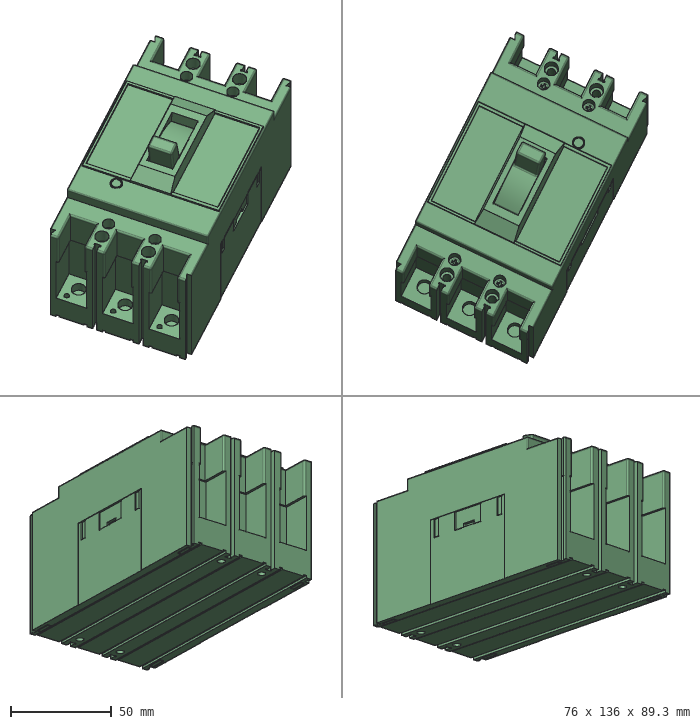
import cadquery as cq
import math


LENGTH = 136.0
WIDTH = 76.0
SHELF_Z = 64.6
SPLIT_Z = 44.6
BLOCK_LENGTH = 85.3
BLOCK_TOP = 70.7
BLOCK_ROOT = 54.4
COVER_ROUND = 0.5
END_ROUND = 1.0
POLE_PITCH = 25.0
POLE_XS = (-POLE_PITCH, 0, POLE_PITCH)
GAP_XS = (-POLE_PITCH / 2, POLE_PITCH / 2)

POCKET_FLOOR = 15.1
UPPER_POCKET_END_Y = 52.6
LOWER_POCKET_END_Y = 51.5
LOWER_POCKET_WIDTH = 16.5
UPPER_POCKET_WIDTH = 13.9
STUD_Y = 58.6
STUD_DIAMETER = 7.2
PIN_DIAMETER = 2.6
PIN_X = 4.0
PIN_PLACES = ((-PIN_X, -64.6), (PIN_X, -53.3))
FLOOR_HOLE_DEPTH = 5.5

SLOT_INNER_Y = 63.9
SLOT_WIDTH = 2.2
SLOT_HEAD_WIDTH = 3.4
SLOT_HEAD_DEPTH = 0.7
CORNER_STEP = 1.6
CORNER_GROOVE_END_Y = 66.2
CORNER_GROOVE_DEPTH = 1.0

MOUNT_DIAMETER = 4.1
MOUNT_BORE_DIAMETER = 7.0
MOUNT_BORE_DEPTH = 8.2
SCREW_Y = 50.0
SCREW_HOLE_DIAMETER = 6.1
SCREW_HOLE_DEPTH = 8.2
SCREW_HEAD_HEIGHT = 1.9
SCREW_HEAD_ROUND = 1.1
CROSS_LENGTH = 3.0
CROSS_WIDTH = 0.8
CROSS_DEPTH = 1.0

UNDERCUT_WIDTH = 16.6
UNDERCUT_DEPTH = 0.5
GROOVE_WIDTH = 1.6
GROOVE_DEPTH = 1.4
FOOT_X = 35.0
FOOT_WIDTH = 2.3
FOOT_INNER_Y = 54.0
FOOT_OUTER_Y = 62.4
FOOT_HEIGHT = 0.4

PANEL_LENGTH = 52.4
PANEL_DEPTH = 0.3
NICHE_DEPTH = 1.1
NICHE_FLOOR = 34.8
SMALL_NICHE_Y = 22.3
SMALL_NICHE_LENGTH = 3.3
MIDDLE_NICHE_LENGTH = 18.4
CATCH_LENGTH = 7.3
CATCH_TOP = 37.1
CATCH_DEPTH = 2.7

PLATE_WIDTH = 73.7
PLATE_BACK_Y = 31.0
PLATE_FRONT_Y = -26.1
PLATE_TOP = 71.7
FIELD_OUTER_X = 35.5
FIELD_BACK_Y = 29.6
FIELD_FRONT_Y = -24.3
BUTTON_PLACE = (-17.0, -29.4)
BUTTON_RING_DIAMETER = 6.1
BUTTON_DIAMETER = 5.0
BUTTON_RING_DEPTH = 0.7

HOOD_WIDTH = 22.6
HOOD_TOP_WIDTH = 19.7
HOOD_SLOPE_Z = 72.1
HOOD_TOP = 76.2
HOOD_TOP_BACK_Y = 23.0
HOOD_TOP_FRONT_Y = -18.1
WINDOW_WIDTH = 14.0
WINDOW_BACK_Y = 18.4
WINDOW_FRONT_Y = -14.1
WINDOW_FOOT_Y = 17.5
BARREL_BACK_Y = 16.7
BARREL_RADIUS = 32.6
BARREL_TOP = 75.3

HANDLE_WIDTH = 13.2
HANDLE_ROOT = 68.0
HANDLE_ROOT_BACK_Y = -2.7
HANDLE_ROOT_FRONT_Y = -11.5
HANDLE_TOP_BACK = (-7.2, 89.0)
HANDLE_TOP_FRONT = (-14.1, 87.9)
HANDLE_ROUND = 1.0
HANDLE_FOOT_ROUND = 0.8


def box(x0, x1, y0, y1, z0, z1):
    size = (x1 - x0, y1 - y0, z1 - z0)
    return cq.Workplane("XY").box(*size, centered=False).translate((x0, y0, z0))


def centred_box(x, width, y0, y1, z0, z1):
    return box(x - width / 2, x + width / 2, y0, y1, z0, z1)


def cylinder(x, y, diameter, z0, z1):
    return cq.Workplane("XY").center(x, y).circle(diameter / 2).extrude(z1 - z0).translate((0, 0, z0))


def both_ends(shape):
    """The shape together with its mirror image across the XZ plane."""
    return shape.union(shape.mirror("XZ"))


def both_sides(shape):
    """The shape together with its mirror image across the YZ plane."""
    return shape.union(shape.mirror("YZ"))


def make_cover():
    """Upper half of the case with rounded pocket mouths and a raised middle."""
    half_l = LENGTH / 2
    cover = centred_box(0, WIDTH, -half_l, half_l, SPLIT_Z, SHELF_Z)
    cover = cover.edges("|Y and >Z").fillet(COVER_ROUND)
    for x in POLE_XS:
        pocket = centred_box(x, UPPER_POCKET_WIDTH, UPPER_POCKET_END_Y, half_l, SPLIT_Z, SHELF_Z)
        cover = cover.cut(both_ends(pocket))

    margin = 0.1
    reach_x = POLE_PITCH + UPPER_POCKET_WIDTH / 2 + margin
    for side in (1, -1):
        near_y, far_y = side * (UPPER_POCKET_END_Y - margin), side * (half_l + margin)
        rims = cq.selectors.BoxSelector(
            (-reach_x, near_y, SHELF_Z - margin), (reach_x, far_y, SHELF_Z + margin))
        uprights = cq.selectors.BoxSelector(
            (-reach_x, side * (half_l - margin), SPLIT_Z + margin), (reach_x, far_y, SHELF_Z - margin))
        end_posts = cover.faces("+Z").edges("<Y" if side < 0 else ">Y")
        edges = cover.edges(rims).add(cover.edges(uprights)).add(end_posts)
        cover = cover.newObject(edges.vals()).fillet(END_ROUND)

    half_b = BLOCK_LENGTH / 2
    block = centred_box(0, WIDTH, -half_b, half_b, BLOCK_ROOT, BLOCK_TOP)
    block = block.edges("|Z or >Z").fillet(COVER_ROUND)
    return cover.union(block)


def make_base():
    """Lower half of the case with the wide terminal pockets and the underside relief."""
    half_l = LENGTH / 2
    base = centred_box(0, WIDTH, -half_l, half_l, 0, SPLIT_Z)
    groove_offset = (UNDERCUT_WIDTH - GROOVE_WIDTH) / 2
    for x in POLE_XS:
        pocket = centred_box(x, LOWER_POCKET_WIDTH, LOWER_POCKET_END_Y, half_l, POCKET_FLOOR, SPLIT_Z)
        base = base.cut(both_ends(pocket))
        base = base.cut(centred_box(x, UNDERCUT_WIDTH, -half_l, half_l, 0, UNDERCUT_DEPTH))
        for groove_x in (x - groove_offset, x + groove_offset):
            base = base.cut(centred_box(groove_x, GROOVE_WIDTH, -half_l, half_l, 0, GROOVE_DEPTH))
    foot = centred_box(FOOT_X, FOOT_WIDTH, FOOT_INNER_Y, FOOT_OUTER_Y, -FOOT_HEIGHT, 0)
    return base.union(both_sides(both_ends(foot)))


def floor_holes():
    """Stud holes in every pocket floor and two pin holes in each pocket at the -Y end."""
    z0 = POCKET_FLOOR - FLOOR_HOLE_DEPTH
    holes = cq.Workplane("XY")
    for x in POLE_XS:
        holes = holes.add(both_ends(cylinder(x, STUD_Y, STUD_DIAMETER, z0, POCKET_FLOOR)))
        for dx, y in PIN_PLACES:
            holes = holes.add(cylinder(x + dx, y, PIN_DIAMETER, z0, POCKET_FLOOR))
    return holes.combine()


def barrier_slots():
    """T-shaped slots between the poles; stepped corners, grooved below and bevelled above."""
    half_l = LENGTH / 2
    slots = cq.Workplane("XY")
    for x in GAP_XS:
        slots = slots.add(centred_box(x, SLOT_WIDTH, SLOT_INNER_Y, half_l, 0, SHELF_Z))
        head_end_y = SLOT_INNER_Y + SLOT_HEAD_DEPTH
        slots = slots.add(centred_box(x, SLOT_HEAD_WIDTH, SLOT_INNER_Y, head_end_y, 0, SHELF_Z))

    side_x = WIDTH / 2
    step_x = side_x - CORNER_STEP
    groove_x = step_x - CORNER_GROOVE_DEPTH
    corner = box(step_x, side_x, SLOT_INNER_Y, half_l, 0, SHELF_Z)
    groove = box(groove_x, step_x, SLOT_INNER_Y, CORNER_GROOVE_END_Y, 0, SPLIT_Z)
    bevel = (
        cq.Workplane("XY", origin=(0, 0, SPLIT_Z))
        .polyline([(step_x, CORNER_GROOVE_END_Y), (groove_x, SLOT_INNER_Y), (step_x, SLOT_INNER_Y)])
        .close()
        .extrude(SHELF_Z - SPLIT_Z)
    )
    corners = both_sides(corner.union(groove).union(bevel))
    return both_ends(slots.add(corners).combine())


def mounting_holes():
    """Counterbored holes through the full case height between the poles."""
    holes = cq.Workplane("XY")
    for x in GAP_XS:
        holes = holes.add(cylinder(x, STUD_Y, MOUNT_DIAMETER, 0, SHELF_Z))
        holes = holes.add(cylinder(x, STUD_Y, MOUNT_BORE_DIAMETER, SHELF_Z - MOUNT_BORE_DEPTH, SHELF_Z))
    return both_ends(holes.combine())


def screw_recesses():
    """Screw holes with a rounded cross-recess screw head left at the bottom of each."""
    floor_z = SHELF_Z - SCREW_HOLE_DEPTH
    head_z = floor_z + SCREW_HEAD_HEIGHT
    recesses = cq.Workplane("XY")
    for x in GAP_XS:
        head = cylinder(x, SCREW_Y, SCREW_HOLE_DIAMETER, floor_z, head_z)
        head = head.faces(">Z").edges().fillet(SCREW_HEAD_ROUND)
        for bar in ((CROSS_LENGTH, CROSS_WIDTH), (CROSS_WIDTH, CROSS_LENGTH)):
            cross_bar = cq.Workplane("XY").box(*bar, 2 * CROSS_DEPTH).translate((x, SCREW_Y, head_z))
            head = head.cut(cross_bar)
        recesses = recesses.add(cylinder(x, SCREW_Y, SCREW_HOLE_DIAMETER, floor_z, SHELF_Z).cut(head))
    return both_ends(recesses.combine())


def side_panels():
    """Shallow panels low on both sides, each with three niches and a deeper catch slot."""
    side_x = WIDTH / 2
    half_p = PANEL_LENGTH / 2
    niche_x = side_x - NICHE_DEPTH
    panel_x = side_x - PANEL_DEPTH

    def niche(y, length):
        return box(niche_x, side_x, y - length / 2, y + length / 2, NICHE_FLOOR, SPLIT_Z)

    catch_x = side_x - CATCH_DEPTH
    catch = box(catch_x, side_x, -CATCH_LENGTH / 2, CATCH_LENGTH / 2, NICHE_FLOOR, CATCH_TOP)
    panel = box(panel_x, side_x, -half_p, half_p, 0, SPLIT_Z)
    panel = panel.union(niche(0, MIDDLE_NICHE_LENGTH)).union(catch)
    panel = panel.union(both_ends(niche(SMALL_NICHE_Y, SMALL_NICHE_LENGTH)))
    return both_sides(panel)


def make_plate():
    """Front plate with a recessed label field on each side, open towards the hood."""
    plate = centred_box(0, PLATE_WIDTH, PLATE_FRONT_Y, PLATE_BACK_Y, BLOCK_TOP, PLATE_TOP)
    field = box(HOOD_TOP_WIDTH / 2, FIELD_OUTER_X, FIELD_FRONT_Y, FIELD_BACK_Y, BLOCK_TOP, PLATE_TOP)
    return plate.cut(both_sides(field))


def button_ring():
    """Ring groove around the trip button."""
    x, y = BUTTON_PLACE
    floor_z = BLOCK_TOP - BUTTON_RING_DEPTH
    ring = cylinder(x, y, BUTTON_RING_DIAMETER, floor_z, BLOCK_TOP)
    return ring.cut(cylinder(x, y, BUTTON_DIAMETER, floor_z, BLOCK_TOP))


def make_hood():
    """Hood with sloped ends and sides: a long profile trimmed by a cross profile."""
    long_profile = (
        cq.Workplane("YZ", origin=(-HOOD_WIDTH / 2, 0, 0))
        .moveTo(PLATE_FRONT_Y, BLOCK_TOP)
        .lineTo(PLATE_FRONT_Y, HOOD_SLOPE_Z)
        .lineTo(HOOD_TOP_FRONT_Y, HOOD_TOP)
        .lineTo(HOOD_TOP_BACK_Y, HOOD_TOP)
        .lineTo(PLATE_BACK_Y, HOOD_SLOPE_Z)
        .lineTo(PLATE_BACK_Y, BLOCK_TOP)
        .close()
        .extrude(HOOD_WIDTH)
    )
    half_w, half_top = HOOD_WIDTH / 2, HOOD_TOP_WIDTH / 2
    cross_profile = (
        cq.Workplane("XZ", origin=(0, PLATE_BACK_Y, 0))
        .moveTo(-half_w, BLOCK_TOP)
        .lineTo(-half_top, HOOD_TOP)
        .lineTo(half_top, HOOD_TOP)
        .lineTo(half_w, BLOCK_TOP)
        .close()
        .extrude(PLATE_BACK_Y - PLATE_FRONT_Y)
    )
    return long_profile.intersect(cross_profile)


def barrel_z(y):
    """Height of the handle barrel, a cylinder along X, at a given Y."""
    return BARREL_TOP - BARREL_RADIUS + math.sqrt(BARREL_RADIUS ** 2 - y ** 2)


def window():
    """Opening in the hood whose floor is the cylindrical handle barrel."""
    foot_drop = WINDOW_FOOT_Y - BARREL_BACK_Y
    return (
        cq.Workplane("YZ", origin=(-WINDOW_WIDTH / 2, 0, 0))
        .moveTo(WINDOW_FRONT_Y, HOOD_TOP)
        .lineTo(WINDOW_FRONT_Y, barrel_z(WINDOW_FRONT_Y))
        .threePointArc((0, BARREL_TOP), (BARREL_BACK_Y, barrel_z(BARREL_BACK_Y)))
        .lineTo(WINDOW_FOOT_Y, barrel_z(BARREL_BACK_Y) - foot_drop)
        .lineTo(WINDOW_BACK_Y, HOOD_TOP)
        .close()
        .extrude(WINDOW_WIDTH)
    )


def make_handle():
    """Tapered toggle handle leaning towards -Y."""
    handle = (
        cq.Workplane("YZ", origin=(-HANDLE_WIDTH / 2, 0, 0))
        .polyline([
            (HANDLE_ROOT_FRONT_Y, HANDLE_ROOT),
            HANDLE_TOP_FRONT,
            HANDLE_TOP_BACK,
            (HANDLE_ROOT_BACK_Y, HANDLE_ROOT),
        ])
        .close()
        .extrude(HANDLE_WIDTH)
    )
    return handle.edges("not <Z").fillet(HANDLE_ROUND)


def blend_handle_foot(breaker):
    """Round the joint between the back of the handle and the barrel."""
    search = 1.4
    back_y = HANDLE_ROOT_BACK_Y - search
    zone = cq.selectors.BoxSelector(
        (-search, back_y - search, BARREL_TOP - search), (search, back_y + search, BARREL_TOP + search))
    return breaker.edges(zone).fillet(HANDLE_FOOT_ROUND)


case = make_base().union(make_cover())
cutters = (
    floor_holes(),
    barrier_slots(),
    mounting_holes(),
    screw_recesses(),
    side_panels(),
    button_ring(),
)
for cutter in cutters:
    case = case.cut(cutter)
front = make_plate().union(make_hood())
result = blend_handle_foot(case.union(front).cut(window()).union(make_handle()))